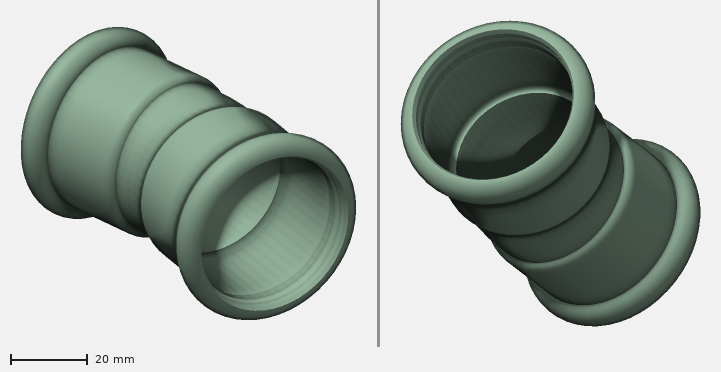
import cadquery as cq
import math

bend_angle = 15.0
bend_radius = 50.7
leg_length = 34.9

neck_bore_radius = 39.0 / 2
neck_outer_radius = 42.0 / 2
socket_bore_radius = 42.4 / 2
socket_outer_radius = 45.4 / 2
throat_radius = 42.7 / 2

shoulder_distance = 30.1

bead_radius = 4.6
bead_outer_radius = 52.7 / 2
bead_centre_radius = bead_outer_radius - bead_radius
mouth_overhang = 0.35
mouth_radius = bead_centre_radius + mouth_overhang

mouth_chamfer_depth = 1.1
lip_start = 3.1
lip_end = 5.9
lip_height = 0.35
step_start = 8.3
step_end = 9.1


def offset_on_circle(radius, height):
    """Horizontal distance from a circle's centre to its rim at a given height."""
    return math.sqrt(radius**2 - height**2)


shoulder_centre = leg_length - shoulder_distance
shoulder_inner_radius = socket_bore_radius - neck_bore_radius
shoulder_outer_radius = socket_outer_radius - neck_bore_radius
shoulder_reach = offset_on_circle(shoulder_outer_radius, neck_outer_radius - neck_bore_radius)

bead_centre = leg_length - bead_radius
bead_front_reach = offset_on_circle(bead_radius, mouth_radius - bead_centre_radius)
bead_back_reach = offset_on_circle(bead_radius, socket_outer_radius - bead_centre_radius)


def shoulder_midpoint(arc_radius, start_angle):
    """Point halfway along a shoulder arc that ends on the straight socket wall."""
    angle = math.radians((start_angle + 90) / 2)
    return (
        shoulder_centre - arc_radius * math.cos(angle),
        neck_bore_radius + arc_radius * math.sin(angle),
    )


def step_midpoint():
    """Point halfway along the step arc, which runs tangent into the socket bore."""
    length = step_end - step_start
    height = throat_radius - socket_bore_radius
    arc_radius = (length**2 + height**2) / (2 * height)
    half_angle = math.asin(length / arc_radius) / 2
    return (
        leg_length - step_end + arc_radius * math.sin(half_angle),
        socket_bore_radius + arc_radius * (1 - math.cos(half_angle)),
    )


def make_leg():
    """Revolved socket along +X, with the bend end at x = 0."""
    outer_start_angle = math.degrees(
        math.asin((neck_outer_radius - neck_bore_radius) / shoulder_outer_radius)
    )
    profile = (
        cq.Workplane("XY")
        .moveTo(0, neck_bore_radius)
        .lineTo(0, neck_outer_radius)
        .lineTo(shoulder_centre - shoulder_reach, neck_outer_radius)
        .threePointArc(
            shoulder_midpoint(shoulder_outer_radius, outer_start_angle),
            (shoulder_centre, socket_outer_radius),
        )
        .lineTo(bead_centre - bead_back_reach, socket_outer_radius)
        .threePointArc(
            (bead_centre, bead_outer_radius),
            (bead_centre + bead_front_reach, mouth_radius),
        )
        .lineTo(leg_length - mouth_chamfer_depth, throat_radius)
        .lineTo(leg_length - lip_start, throat_radius)
        .threePointArc(
            (leg_length - (lip_start + lip_end) / 2, throat_radius - lip_height),
            (leg_length - lip_end, throat_radius),
        )
        .lineTo(leg_length - step_start, throat_radius)
        .threePointArc(step_midpoint(), (leg_length - step_end, socket_bore_radius))
        .lineTo(shoulder_centre, socket_bore_radius)
        .threePointArc(
            shoulder_midpoint(shoulder_inner_radius, 0),
            (shoulder_centre - shoulder_inner_radius, neck_bore_radius),
        )
        .close()
    )
    return profile.revolve(360, (0, 0, 0), (1, 0, 0))


def make_bend():
    """Bent neck from the origin towards -X, curving towards -Y."""
    return (
        cq.Workplane("YZ")
        .circle(neck_outer_radius)
        .circle(neck_bore_radius)
        .revolve(bend_angle, (-bend_radius, 0, 0), (-bend_radius, 1, 0))
    )


bend_axis_start = (0, -bend_radius, 0)
bend_axis_end = (0, -bend_radius, 1)
straight_leg = make_leg()
angled_leg = straight_leg.mirror("YZ").rotate(bend_axis_start, bend_axis_end, bend_angle)

result = straight_leg.union(make_bend()).union(angled_leg)